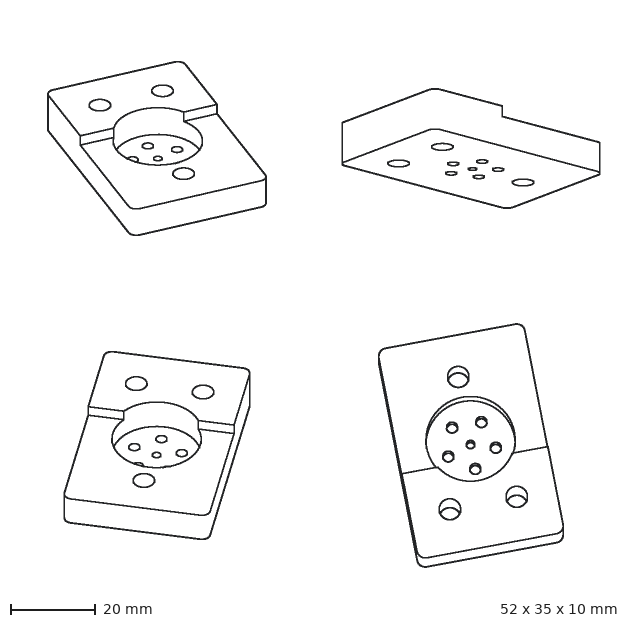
import cadquery as cq

length = 52.0
width = 35.0
height = 10.0
corner_radius = 2.0
step_from_end = 21.0
step_depth = 2.6

pocket_x = 0.5
pocket_diameter = 21.0
pocket_floor = 2.5
center_hole_diameter = 2.0
ring_hole_diameter = 2.6
ring_radius = 6.0
ring_hole_count = 5
ring_start_angle = 180

mount_diameter = 5.05
pair_x = -15.5
pair_spacing = 16.0
single_x = 16.0


def stepped_block():
    block = cq.Workplane("XY").box(length, width, height, centered=(True, True, False))
    block = block.edges("|Z").fillet(corner_radius)
    low_end = (
        cq.Workplane("XY", origin=(step_from_end - length / 2, 0, height - step_depth))
        .box(length, width, step_depth, centered=(False, True, False))
    )
    return block.cut(low_end)


def pocket():
    return (
        cq.Workplane("XY", origin=(pocket_x, 0, pocket_floor))
        .circle(pocket_diameter / 2)
        .extrude(height - pocket_floor)
    )


def pocket_holes():
    base = cq.Workplane("XY", origin=(pocket_x, 0, 0))
    center = base.circle(center_hole_diameter / 2).extrude(height)
    ring = (
        base.polarArray(ring_radius, ring_start_angle, 360, ring_hole_count)
        .circle(ring_hole_diameter / 2)
        .extrude(height)
    )
    return center.union(ring)


def mounting_holes():
    centers = [(pair_x, pair_spacing / 2), (pair_x, -pair_spacing / 2), (single_x, 0)]
    return cq.Workplane("XY").pushPoints(centers).circle(mount_diameter / 2).extrude(height)


result = stepped_block().cut(pocket()).cut(pocket_holes()).cut(mounting_holes())